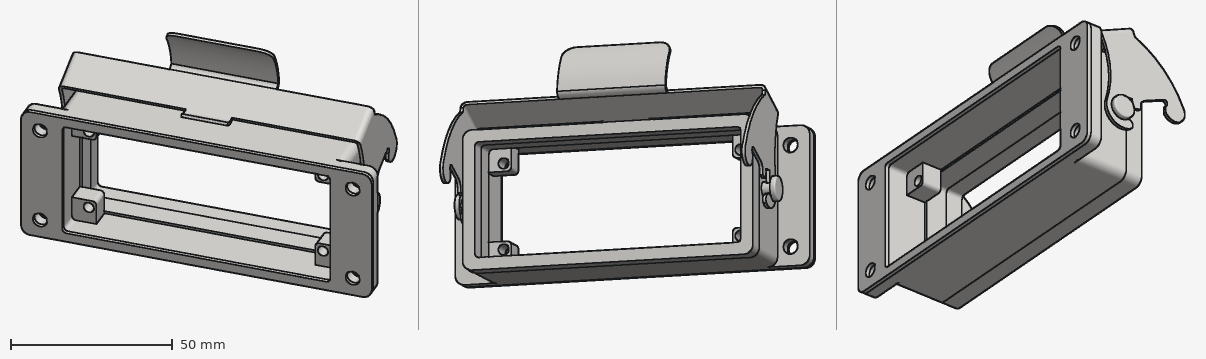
import cadquery as cq
import math


flange_length = 115.5
height = 44.0
corner_radius = 3.0
gasket_thickness = 1.4
flange_back_y = 5.4
mount_hole_diameter = 4.6
mount_hole_x = 51.5
mount_hole_z = 15.9

body_length = 94.6
body_back_y = 23.3
rim_back_y = 29.5

opening_length = 88.2
opening_height = 37.9
opening_radius = 1.4
opening_step = 0.8
step_y = 15.6

post_front_y = 8.5
post_inner_x = 36.0
post_inner_z = 11.0
post_radius = 1.4
post_hole_diameter = 3.3
post_hole_x = 38.6
post_hole_z = 13.5

pin_y = 18.9
pin_diameter = 4.5
pin_head_diameter = 8.0
pin_head_inner_x = 50.6
pin_head_outer_x = 52.3
pin_head_round = 0.6

sheet = 1.0
lever_width = 99.5
bend_radius = 2.1
strap_width = 13.5
strap_tilt = math.radians(24)
strap_back_y = 23.6
strap_back_z = 32.0

lip_width = 15.2
lip_radius = 3.8
lip_turn = math.radians(57)

handle_width = 35.2
handle_corner_radius = 4.3
handle_centre_y = 2.4
handle_centre_z = 30.8
handle_outer_radius = 24.0
handle_start = math.radians(5.5)
handle_end = math.radians(52)
handle_tip_y = 19.0
handle_tip_z = 47.9
handle_tip_tilt = math.radians(20)
handle_bend_inner = (24.8, 32.5)
handle_bend_outer = (25.8, 31.9)

heel_middle = (24.6, 29.2)
heel_end = (25.1, 28.5)
back_middle = (37.2, 19.9)
back_end = (43.8, 9.9)
hook_bottom = (41.2, 3.8)
hook_tip = (36.8, 5.9)
throat_start = (37.0, 8.1)
throat_middle = (37.4, 9.5)
throat_end = (36.3, 10.2)
underside_end = (29.3, 7.2)
tooth_shoulder = (27.8, 6.1)
tooth_side = (27.0, 4.4)
tooth_back_corner = (27.0, 3.0)
tooth_front_corner = (24.4, 2.4)
mouth_back_y = 23.7
mouth_front_y = 20.6
mouth_top_z = 5.5
jaw_start = (23.1, -2.5)
jaw_nose = (24.0, -3.8)
jaw_end = (23.6, -5.2)
pivot_hook_middle = (15.8, -4.5)
pivot_hook_end = (14.0, 1.8)
front_hollow = (15.4, 11.0)


def rounded_bar(length, bar_height, radius, y_start, y_end):
    """Rectangular bar along Y, centred on the Y axis, with its four long edges rounded."""
    return (
        cq.Workplane("XZ", origin=(0, y_start, 0))
        .rect(length, bar_height)
        .extrude(y_start - y_end)
        .edges("|Y")
        .fillet(radius)
    )


def cylinders_along_y(diameter, x, z, y_start, y_end):
    """Four cylinders along Y, one in each quadrant."""
    return (
        cq.Workplane("XZ", origin=(0, y_start, 0))
        .rect(2 * x, 2 * z, forConstruction=True)
        .vertices()
        .circle(diameter / 2)
        .extrude(y_start - y_end)
    )


def wide_opening(y_start, y_end):
    return rounded_bar(opening_length, opening_height, opening_radius, y_start, y_end)


def narrow_opening(y_start, y_end):
    length = opening_length - 2 * opening_step
    clear_height = opening_height - 2 * opening_step
    return rounded_bar(length, clear_height, opening_radius, y_start, y_end)


def mount_holes(y_start, y_end):
    return cylinders_along_y(mount_hole_diameter, mount_hole_x, mount_hole_z, y_start, y_end)


def make_gasket():
    plate = rounded_bar(flange_length, height, corner_radius, 0, gasket_thickness)
    plate = plate.cut(wide_opening(0, gasket_thickness))
    return plate.cut(mount_holes(0, gasket_thickness))


def make_rim_seal():
    rim = rounded_bar(body_length, height, corner_radius, body_back_y, rim_back_y)
    return rim.cut(narrow_opening(body_back_y, rim_back_y))


def make_posts():
    """Four drilled blocks that fill the corners of the opening in front of its step."""
    opening = wide_opening(post_front_y, step_y)
    depth = step_y - post_front_y
    middle_y = (post_front_y + step_y) / 2
    blocks = cq.Workplane("XY")
    for side_x in (-1, 1):
        for side_z in (-1, 1):
            block = (
                cq.Workplane("XY")
                .box(2 * post_inner_x, depth, 2 * post_inner_z)
                .translate((side_x * 2 * post_inner_x, middle_y, side_z * 2 * post_inner_z))
                .edges("|Y")
                .fillet(post_radius)
            )
            blocks = blocks.add(block)
    holes = cylinders_along_y(post_hole_diameter, post_hole_x, post_hole_z, post_front_y, step_y)
    return opening.intersect(blocks.combine()).cut(holes)


def make_pin(side):
    """Headed pin standing out of the end wall; side is -1 or 1."""
    wall_x = body_length / 2
    shank = (
        cq.Workplane("YZ", origin=(side * wall_x, pin_y, 0))
        .circle(pin_diameter / 2)
        .extrude(side * (pin_head_inner_x - wall_x))
    )
    head = (
        cq.Workplane("YZ", origin=(side * pin_head_inner_x, pin_y, 0))
        .circle(pin_head_diameter / 2)
        .extrude(side * (pin_head_outer_x - pin_head_inner_x))
        .faces(">X" if side > 0 else "<X")
        .edges()
        .fillet(pin_head_round)
    )
    return shank.union(head)


def make_housing():
    flange = rounded_bar(flange_length, height, corner_radius, gasket_thickness, flange_back_y)
    body = rounded_bar(body_length, height, corner_radius, gasket_thickness, body_back_y)
    shell = flange.union(body)
    shell = shell.cut(wide_opening(gasket_thickness, step_y))
    shell = shell.cut(narrow_opening(step_y, body_back_y))
    shell = shell.cut(mount_holes(gasket_thickness, flange_back_y))
    shell = shell.union(make_posts())
    for side in (-1, 1):
        shell = shell.union(make_pin(side))
    return shell


def strap_point(along, above):
    """(Y, Z) of a point given along the strap from its back edge and above its outer face."""
    y = strap_back_y - along * math.cos(strap_tilt) - above * math.sin(strap_tilt)
    z = strap_back_z - along * math.sin(strap_tilt) + above * math.cos(strap_tilt)
    return (y, z)


def make_strap():
    """Tilted cross strap whose two ends bend down into the legs."""
    plane = cq.Plane(
        origin=(0, strap_back_y, strap_back_z),
        xDir=(1, 0, 0),
        normal=(0, -math.cos(strap_tilt), -math.sin(strap_tilt)),
    )
    half = lever_width / 2
    inner_radius = bend_radius - sheet
    return (
        cq.Workplane(plane)
        .moveTo(-half, -bend_radius)
        .radiusArc((-half + bend_radius, 0), bend_radius)
        .lineTo(half - bend_radius, 0)
        .radiusArc((half, -bend_radius), bend_radius)
        .lineTo(half - sheet, -bend_radius)
        .radiusArc((half - bend_radius, -sheet), -inner_radius)
        .lineTo(-half + bend_radius, -sheet)
        .radiusArc((-half + sheet, -bend_radius), -inner_radius)
        .close()
        .extrude(strap_width)
    )


def make_leg(start_x):
    """Flat side leg: a locking hook at the far end and a pivot hook round the pin."""
    shank_radius = pin_diameter / 2
    seat_half_height = math.sqrt(shank_radius**2 - (mouth_front_y - pin_y) ** 2)
    seat_front = (pin_y - shank_radius, 0)
    return (
        cq.Workplane("YZ", origin=(start_x, 0, 0))
        .moveTo(*strap_point(0, -bend_radius))
        .threePointArc(heel_middle, heel_end)
        .threePointArc(back_middle, back_end)
        .threePointArc(hook_bottom, hook_tip)
        .lineTo(*throat_start)
        .threePointArc(throat_middle, throat_end)
        .lineTo(*underside_end)
        .threePointArc(tooth_shoulder, tooth_side)
        .lineTo(*tooth_back_corner)
        .lineTo(*tooth_front_corner)
        .lineTo(mouth_back_y, mouth_top_z)
        .lineTo(mouth_front_y, mouth_top_z)
        .lineTo(mouth_front_y, seat_half_height)
        .threePointArc(seat_front, (mouth_front_y, -seat_half_height))
        .lineTo(*jaw_start)
        .threePointArc(jaw_nose, jaw_end)
        .threePointArc(pivot_hook_middle, pivot_hook_end)
        .threePointArc(front_hollow, strap_point(strap_width, -bend_radius))
        .close()
        .extrude(sheet)
    )


def make_lip():
    """Short lip curling up from the front edge of the strap."""
    def on_lip(radius, turn):
        return strap_point(strap_width + radius * math.sin(turn), lip_radius - radius * math.cos(turn))

    outer_radius = lip_radius + sheet
    return (
        cq.Workplane("YZ", origin=(-lip_width / 2, 0, 0))
        .moveTo(*on_lip(lip_radius, 0))
        .threePointArc(on_lip(lip_radius, lip_turn / 2), on_lip(lip_radius, lip_turn))
        .lineTo(*on_lip(outer_radius, lip_turn))
        .threePointArc(on_lip(outer_radius, lip_turn / 2), on_lip(outer_radius, 0))
        .close()
        .extrude(lip_width)
    )


def make_handle():
    """Curved thumb plate standing up from the back edge of the strap, its free corners rounded."""
    def on_handle(radius, angle):
        y = handle_centre_y + radius * math.cos(angle)
        z = handle_centre_z + radius * math.sin(angle)
        return (y, z)

    inner_radius = handle_outer_radius - sheet
    middle = (handle_start + handle_end) / 2
    bent_sheet = (
        cq.Workplane("YZ", origin=(-handle_width / 2, 0, 0))
        .moveTo(*strap_point(0, 0))
        .threePointArc(handle_bend_inner, on_handle(inner_radius, handle_start))
        .threePointArc(on_handle(inner_radius, middle), on_handle(inner_radius, handle_end))
        .lineTo(*on_handle(handle_outer_radius, handle_end))
        .threePointArc(on_handle(handle_outer_radius, middle), on_handle(handle_outer_radius, handle_start))
        .threePointArc(handle_bend_outer, strap_point(0, -sheet))
        .close()
        .extrude(handle_width)
    )
    cut_plane = cq.Plane(
        origin=(0, handle_tip_y, handle_tip_z),
        xDir=(1, 0, 0),
        normal=(0, -math.cos(handle_tip_tilt), -math.sin(handle_tip_tilt)),
    )
    outline = (
        cq.Workplane(cut_plane)
        .rect(handle_width, 2 * handle_outer_radius)
        .extrude(handle_outer_radius, both=True)
        .edges(cq.selectors.ParallelDirSelector(cut_plane.zDir))
        .fillet(handle_corner_radius)
        .translate(cut_plane.yDir * -handle_outer_radius)
    )
    return bent_sheet.intersect(outline)


def make_lever():
    lever = make_strap()
    for start_x in (-lever_width / 2, lever_width / 2 - sheet):
        lever = lever.union(make_leg(start_x))
    return lever.union(make_lip()).union(make_handle())


gasket = make_gasket().solids()
housing = make_housing().solids()
rim_seal = make_rim_seal().solids()
lever = make_lever().solids()

result = cq.Compound.makeCompound([gasket.val(), housing.val(), rim_seal.val(), lever.val()])